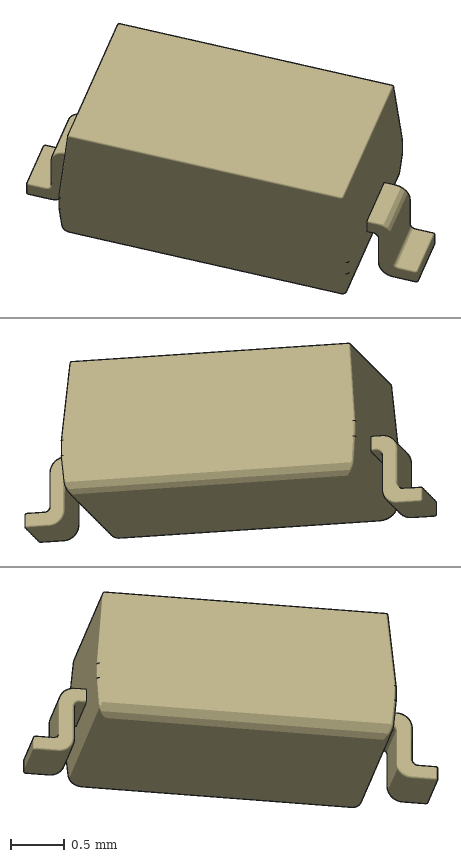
import cadquery as cq

overall_length = 3.85
overall_height = 1.45

body_length = 2.85
body_width = 1.7
body_bottom = 0.1
draft_angle = 5.0
body_edge_radius = 0.025
bottom_edge_radius = 0.2

lead_thickness = 0.15
lead_width = 0.55
lead_top = 0.675
foot_length = 0.243
outer_bend_radius = 0.15
inner_bend_radius = 0.05
lead_edge_radius = 0.025
lead_embed = 0.115

lead_underside = lead_top - lead_thickness


def body_outline(z):
    """Widest body rectangle, placed at height z."""
    return cq.Workplane("XY", origin=(0, 0, z)).rect(body_length, body_width)


def make_body():
    """Straight band at lead height, with drafted halves above and below it."""
    band = body_outline(lead_underside).extrude(lead_thickness)
    band = band.edges("|Z").fillet(body_edge_radius)
    upper = body_outline(lead_top).extrude(overall_height - lead_top, taper=draft_angle)
    upper = upper.edges("(not #Z) or >Z").fillet(body_edge_radius)
    lower = body_outline(lead_underside).extrude(body_bottom - lead_underside, taper=draft_angle)
    lower = lower.faces("<Z").edges().fillet(bottom_edge_radius)
    lower = lower.edges("not #Z").fillet(body_edge_radius)
    return band.union(upper).union(lower)


def round_bend(strip, x, z, radius):
    """Round the crosswise edge of the strip that runs through (x, z)."""
    bend_edge = cq.selectors.NearestToPointSelector((x, 0, z))
    return strip.edges("|Y").edges(bend_edge).fillet(radius)


def make_left_lead():
    """Z-shaped strip from the foot tip up into the body, with rounded edges."""
    tip_x = -overall_length / 2
    riser_outer_x = tip_x + foot_length
    riser_inner_x = riser_outer_x + lead_thickness
    root_x = -body_length / 2 + lead_embed
    strip = (
        cq.Workplane("XZ")
        .moveTo(tip_x, 0)
        .lineTo(riser_inner_x, 0)
        .lineTo(riser_inner_x, lead_underside)
        .lineTo(root_x, lead_underside)
        .lineTo(root_x, lead_top)
        .lineTo(riser_outer_x, lead_top)
        .lineTo(riser_outer_x, lead_thickness)
        .lineTo(tip_x, lead_thickness)
        .close()
        .extrude(lead_width / 2, both=True)
    )
    outer_bends = [(riser_outer_x, lead_top), (riser_inner_x, 0)]
    inner_bends = [(riser_outer_x, lead_thickness), (riser_inner_x, lead_underside)]
    for x, z in outer_bends:
        strip = round_bend(strip, x, z, outer_bend_radius)
    for x, z in inner_bends:
        strip = round_bend(strip, x, z, inner_bend_radius)
    return strip.faces("<X or <Y or >Y").edges().fillet(lead_edge_radius)


left_lead = make_left_lead()
right_lead = left_lead.mirror("YZ")
result = make_body().union(left_lead).union(right_lead)